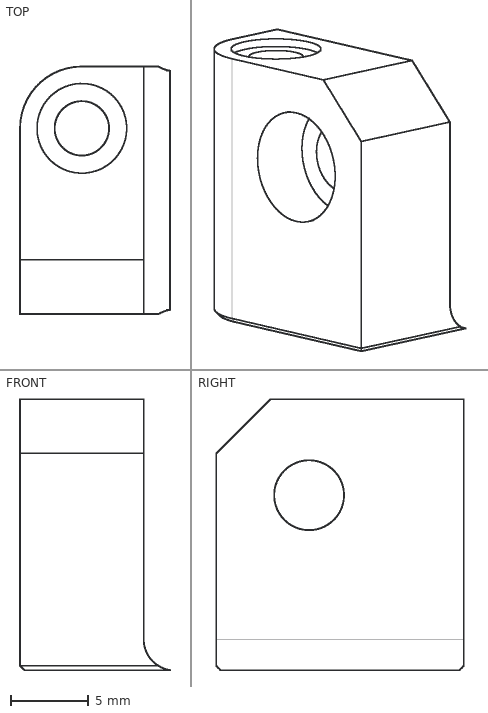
import cadquery as cq

body_width = 8.0
overall_width = 9.7
depth = 16.0
height = 17.5
corner_radius = body_width / 2
foot_radius = 2.0
bottom_chamfer = 0.3
front_bevel = 3.5

screw_hole_diameter = 3.5
screw_seat_diameter = 5.8
screw_seat_depth = 0.5
screw_x = corner_radius
screw_y = depth - corner_radius

cross_hole_diameter = 4.5
cross_bore_diameter = 7.2
cross_bore_depth = body_width / 2
cross_y = 6.0
cross_z = 11.3


def footprint_prism():
    """Full-height prism with the rounded corner and the bottom chamfer."""
    prism = cq.Workplane("XY").box(overall_width, depth, height, centered=False)
    prism = prism.edges("|Z and <X and >Y").fillet(corner_radius)
    return prism.faces("<Z").edges("not(>X)").chamfer(bottom_chamfer)


def flared_profile():
    """XZ section of the body with a concave foot, swept along Y."""
    arc_center_x = body_width + foot_radius
    tip_z = foot_radius - (foot_radius**2 - (arc_center_x - overall_width) ** 2) ** 0.5
    return (
        cq.Workplane("XZ")
        .lineTo(overall_width, 0)
        .lineTo(overall_width, tip_z)
        .radiusArc((body_width, foot_radius), foot_radius)
        .lineTo(body_width, height)
        .lineTo(0, height)
        .close()
        .extrude(-depth)
    )


def bevel_cutter():
    """Triangular wedge removing the top front edge at 45 degrees."""
    return (
        cq.Workplane("YZ")
        .moveTo(0, height - front_bevel)
        .lineTo(front_bevel, height)
        .lineTo(0, height)
        .close()
        .extrude(overall_width)
    )


def counterbored_cutter(plane, center, diameter, length, bore_diameter, bore_start, bore_depth):
    """Through hole along the plane normal with a wider bore starting at bore_start."""
    hole = cq.Workplane(plane).center(*center).circle(diameter / 2).extrude(length)
    bore = (
        cq.Workplane(plane)
        .workplane(offset=bore_start)
        .center(*center)
        .circle(bore_diameter / 2)
        .extrude(bore_depth)
    )
    return hole.union(bore)


screw_cutter = counterbored_cutter(
    "XY", (screw_x, screw_y), screw_hole_diameter, height,
    screw_seat_diameter, height - screw_seat_depth, screw_seat_depth,
)
cross_cutter = counterbored_cutter(
    "YZ", (cross_y, cross_z), cross_hole_diameter, overall_width,
    cross_bore_diameter, 0, cross_bore_depth,
)

body = footprint_prism().intersect(flared_profile())
result = body.cut(bevel_cutter()).cut(screw_cutter).cut(cross_cutter)